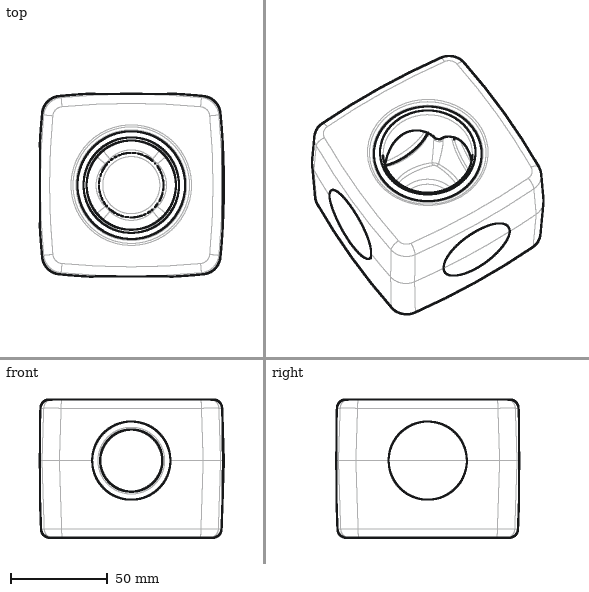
import cadquery as cq
import math

HALF_WIDTH = 47.9
SIDE_RADIUS = 381.0
TOP_Z = 31.6
BOTTOM_Z = -39.9
DRAFT = 2.0
CORNER_RADIUS = 10.0
RIM_RADIUS = 4.8

TUBE_RADIUS = 16.0
TUBE_START_X = 24.8
SOCKET_RADIUS = 20.2
SOCKET_DEPTH_X = 30.4
SOCKET_BEND_SHARE = 0.7
PILLAR_RADIUS = 3.5
OUTSIDE_X = HALF_WIDTH + 1

BORE_RADIUS = 23.05
BORE_LIP_RADIUS = 1.6
LIP_CREST_RADIUS = BORE_RADIUS + BORE_LIP_RADIUS
WELL_RADIUS = 16.7
WELL_FLOOR_Z = -30.0
WELL_CORNER_RADIUS = 1.9
WELL_EDGE_RADIUS = 1.5

GROOVE_OUTER_RADIUS = 31.1
GROOVE_FLOOR_OUTER_RADIUS = 28.6
GROOVE_FLOOR_INNER_RADIUS = 27.8
GROOVE_DEPTH = 1.5
GROOVE_BEND_SHARE = 0.6

PLUG_THICKNESS = 10.9


def bulged_square():
    """Square outline on the parting plane with four convex sides."""
    centre_offset = SIDE_RADIUS - HALF_WIDTH
    corner = (math.sqrt(2 * SIDE_RADIUS**2 - centre_offset**2) - centre_offset) / 2
    return (
        cq.Workplane("XY")
        .moveTo(corner, -corner)
        .threePointArc((HALF_WIDTH, 0), (corner, corner))
        .threePointArc((0, HALF_WIDTH), (-corner, corner))
        .threePointArc((-HALF_WIDTH, 0), (-corner, -corner))
        .threePointArc((0, -HALF_WIDTH), (corner, -corner))
        .close()
    )


def drafted_block():
    """Sharp-edged block that narrows upward and downward from the parting plane."""
    upper = bulged_square().extrude(TOP_Z, taper=DRAFT)
    lower = bulged_square().extrude(BOTTOM_Z, taper=DRAFT)
    return upper.union(lower)


def outer_block():
    """Drafted block with its corners and its top and bottom rims rounded."""
    block = drafted_block()
    corner_edges = [
        edge for edge in block.edges().vals() if abs(edge.endPoint().z - edge.startPoint().z) > RIM_RADIUS
    ]
    rounded = block.newObject(corner_edges).fillet(CORNER_RADIUS)
    return rounded.faces(">Z or <Z").edges().fillet(RIM_RADIUS)


def cylinder_between(plane, radius, start, end):
    """Cylinder about the normal of the plane, between two positions along it."""
    return cq.Workplane(plane).workplane(offset=start).circle(radius).extrude(end - start)


def crossing_void():
    """Crossing side passages and the well through them, with their meeting edges rounded."""
    x_tube = cylinder_between("YZ", TUBE_RADIUS, -TUBE_START_X, TUBE_START_X)
    y_tube = cylinder_between("XZ", TUBE_RADIUS, -TUBE_START_X, TUBE_START_X)
    well = cylinder_between("XY", WELL_RADIUS, WELL_FLOOR_Z, TOP_Z)
    well = well.faces("<Z").edges().fillet(WELL_CORNER_RADIUS)
    void = x_tube.union(y_tube).union(well)
    pillar_edges = [
        edge
        for edge in void.edges().vals()
        if math.isclose(abs(edge.Center().x), abs(edge.Center().y), abs_tol=0.1)
        and abs(edge.Center().x) > TUBE_RADIUS / 2
    ]
    void = void.newObject(pillar_edges).fillet(PILLAR_RADIUS)
    mouth_edges = [
        edge
        for edge in void.edges().vals()
        if -TUBE_RADIUS - 0.1 < edge.BoundingBox().zmin and edge.BoundingBox().zmax < -TUBE_RADIUS / 2
    ]
    return void.newObject(mouth_edges).fillet(WELL_EDGE_RADIUS)


def blend_point(start, end, share):
    """Point on the chord of a double bend where its two tangent arcs meet."""
    return tuple(a + share * (b - a) for a, b in zip(start, end))


def socket_void():
    """Socket along +X that narrows to the passage through two opposed arcs."""
    socket_end = (SOCKET_DEPTH_X, -SOCKET_RADIUS)
    tube_start = (TUBE_START_X, -TUBE_RADIUS)
    return (
        cq.Workplane("XZ")
        .moveTo(TUBE_START_X, 0)
        .lineTo(OUTSIDE_X, 0)
        .lineTo(OUTSIDE_X, -SOCKET_RADIUS)
        .lineTo(*socket_end)
        .tangentArcPoint(blend_point(socket_end, tube_start, SOCKET_BEND_SHARE), relative=False)
        .tangentArcPoint(tube_start, relative=False)
        .close()
        .revolve(360, (0, 0, 0), (1, 0, 0))
    )


def ring_groove():
    """Groove with a rounded outer wall and an inner wall that slopes up to the lip of the bore."""
    floor_z = TOP_Z - GROOVE_DEPTH
    wall_foot = (GROOVE_FLOOR_OUTER_RADIUS, floor_z)
    wall_top = (GROOVE_OUTER_RADIUS, TOP_Z)
    return (
        cq.Workplane("XZ")
        .moveTo(GROOVE_FLOOR_INNER_RADIUS, floor_z)
        .lineTo(*wall_foot)
        .tangentArcPoint(blend_point(wall_foot, wall_top, GROOVE_BEND_SHARE), relative=False)
        .tangentArcPoint(wall_top, relative=False)
        .lineTo(LIP_CREST_RADIUS, TOP_Z)
        .close()
        .revolve(360, (0, 0, 0), (0, 1, 0))
    )


def bore_void():
    """Large bore from the top to the parting plane, flared by a rounded lip."""
    return (
        cq.Workplane("XZ")
        .lineTo(BORE_RADIUS, 0)
        .lineTo(BORE_RADIUS, TOP_Z - BORE_LIP_RADIUS)
        .radiusArc((LIP_CREST_RADIUS, TOP_Z), BORE_LIP_RADIUS)
        .lineTo(0, TOP_Z)
        .close()
        .revolve(360, (0, 0, 0), (0, 1, 0))
    )


def make_housing():
    """Block with the crossing passages, the top bore, its ring groove and four side sockets."""
    housing = outer_block().cut(crossing_void()).cut(bore_void()).cut(ring_groove())
    for turn in range(4):
        housing = housing.cut(socket_void().rotate((0, 0, 0), (0, 0, 1), 90 * turn))
    return housing


def make_plug():
    """Disc that closes the +X socket, with both faces following the drafted side of the block."""
    block = drafted_block()
    return socket_void().intersect(block).cut(block.translate((-PLUG_THICKNESS, 0, 0)))


housing = make_housing()
plug = make_plug()
result = cq.Compound.makeCompound([housing.val(), plug.val()])